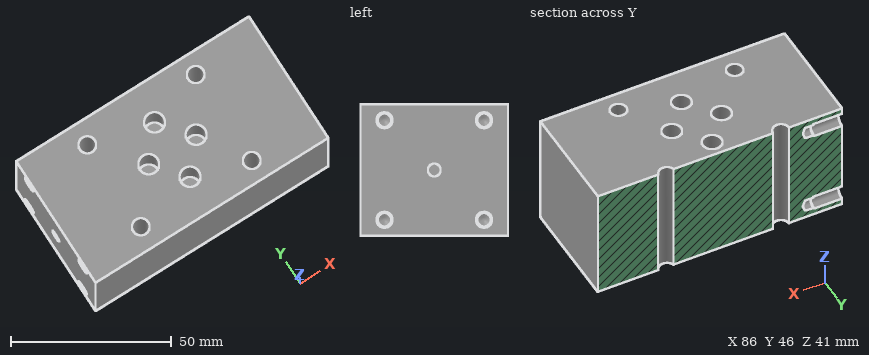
import cadquery as cq
import math

LENGTH = 86.0
WIDTH = 46.0
HEIGHT = 41.0

BOLT_DIAMETER = 5.5
BOLT_PAIRS = ((-21.5, 31.0), (19.0, 32.5))

PORT_DIAMETER = 6.5
PORT_DEPTH = 15.0
PORT_X_LEFT = -8.7
PORT_X_RIGHT = 8.8
PORT_SPACING_Y = 20.6

THREAD_DIAMETER = 5.0
THREAD_DEPTH = 10.0
DRILL_DIAMETER = 4.2
DRILL_DEPTH = 13.0
DRILL_POINT_ANGLE = 140.0
THREAD_SPACING = 31.0

PILOT_DIAMETER = 4.0
PILOT_DEPTH = 10.0


def make_block():
    return cq.Workplane("XY").box(LENGTH, WIDTH, HEIGHT)


def drill_down(part, centres, diameter, depth):
    """Drill flat-bottomed holes from the top face, at (x, y) centres."""
    top = cq.Workplane("XY", origin=(0, 0, HEIGHT / 2))
    return part.cut(top.pushPoints(centres).circle(diameter / 2).extrude(-depth))


def cut_bolt_holes(part):
    centres = [(x, side * spacing / 2) for x, spacing in BOLT_PAIRS for side in (-1, 1)]
    return drill_down(part, centres, BOLT_DIAMETER, HEIGHT)


def cut_ports(part):
    half_y = PORT_SPACING_Y / 2
    centres = [(PORT_X_LEFT, 0), (PORT_X_RIGHT, 0), (0, -half_y), (0, half_y)]
    return drill_down(part, centres, PORT_DIAMETER, PORT_DEPTH)


def threaded_hole_tool():
    """Stepped hole with a conical bottom, revolved about X from the -X end face."""
    thread_radius = THREAD_DIAMETER / 2
    drill_radius = DRILL_DIAMETER / 2
    point_length = drill_radius / math.tan(math.radians(DRILL_POINT_ANGLE / 2))
    profile = (
        cq.Workplane("XY", origin=(-LENGTH / 2, 0, 0))
        .lineTo(0, thread_radius)
        .lineTo(THREAD_DEPTH, thread_radius)
        .lineTo(THREAD_DEPTH, drill_radius)
        .lineTo(DRILL_DEPTH, drill_radius)
        .lineTo(DRILL_DEPTH + point_length, 0)
        .close()
    )
    return profile.revolve(360, (0, 0, 0), (1, 0, 0))


def cut_threaded_holes(part):
    tool = threaded_hole_tool()
    half_spacing = THREAD_SPACING / 2
    for y in (-half_spacing, half_spacing):
        for z in (-half_spacing, half_spacing):
            part = part.cut(tool.translate((0, y, z)))
    return part


def cut_pilot_hole(part):
    end_face = cq.Workplane("YZ", origin=(-LENGTH / 2, 0, 0))
    return part.cut(end_face.circle(PILOT_DIAMETER / 2).extrude(PILOT_DEPTH))


result = make_block()
result = cut_bolt_holes(result)
result = cut_ports(result)
result = cut_threaded_holes(result)
result = cut_pilot_hole(result)